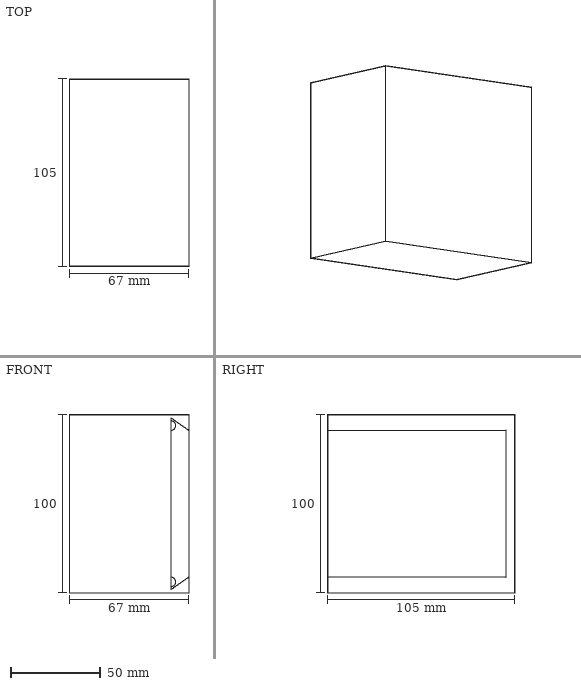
import cadquery as cq
import math

width = 67.0
length = 105.0
height = 100.0

slot_depth = 10.0
end_wall = 5.0
lip_root_thickness = 2.0
lip_mouth_thickness = 9.0

bump_base_radius = 2.75
bump_height = 2.5
bump_edge_distance = 6.2
bump_entry_distance = 10.0

slot_floor_x = width - slot_depth
slot_length = length - end_wall


def make_block():
    return cq.Workplane("XY").box(width, length, height, centered=False)


def make_slot():
    """Dovetail prism running from the open end to the end wall."""
    return (
        cq.Workplane("XZ")
        .moveTo(slot_floor_x, lip_root_thickness)
        .lineTo(width, lip_mouth_thickness)
        .lineTo(width, height - lip_mouth_thickness)
        .lineTo(slot_floor_x, height - lip_root_thickness)
        .close()
        .extrude(-slot_length)
    )


def make_bump(center_z):
    """Spherical cap on the slot floor, with its tip pointing to +X."""
    sphere_radius = (bump_height**2 + bump_base_radius**2) / (2 * bump_height)
    half_angle = math.asin(bump_base_radius / sphere_radius) / 2
    cap_midpoint = (
        bump_height - sphere_radius * (1 - math.cos(half_angle)),
        sphere_radius * math.sin(half_angle),
    )
    return (
        cq.Workplane("XY", origin=(slot_floor_x, bump_entry_distance, center_z))
        .lineTo(bump_height, 0)
        .threePointArc(cap_midpoint, (0, bump_base_radius))
        .close()
        .revolve(360, (0, 0), (1, 0))
    )


result = make_block().cut(make_slot())
for bump_z in (bump_edge_distance, height - bump_edge_distance):
    result = result.union(make_bump(bump_z))